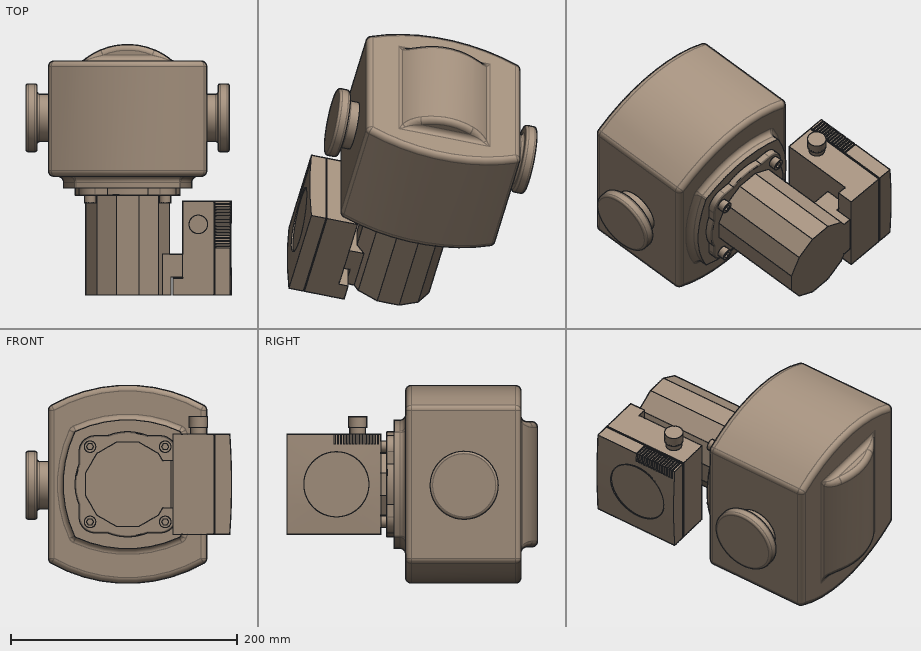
import cadquery as cq
import math


MARGIN = 0.2

TOTAL_LENGTH = 221.5

SHELL_HALF_WIDTH = 70.0
SHELL_HEIGHT = 175.2
SHELL_HALF_HEIGHT = SHELL_HEIGHT / 2
SHELL_ARC_RADIUS = 137.0
SHELL_BACK_Y = 50.3
SHELL_FRONT_Y = -51.8
EDGE_FILLET = 5.0

BOSS_HALF_SIZE = 57.0
BOSS_CORNER = 46.5
BOSS_CORNER_FILLET = 2.2
BOSS_FRONT_Y = -62.0

DOME_RADIUS = 61.0
DOME_HALF_HEIGHT = 55.4
DOME_BACK_Y = 65.0

PIPE_AXIS_Z = -0.9
PIPE_END_X = 90.0
PIPE_FLANGE_RADIUS = 30.1
PIPE_FLANGE_THICKNESS = 10.0
PIPE_NECK_RADIUS = 21.0
PIPE_FILLET = 2.2

PLATE_HALF_SIZE = 43.0
PLATE_CORNER_RADIUS = 14.2
PLATE_LOBE_RADIUS = 46.5
PLATE_FRONT_Y = -68.7
PLATE_EDGE_FILLET = 0.9
MOTOR_APOTHEM = 37.2
MOTOR_SIDES = 12
MOTOR_FRONT_Y = DOME_BACK_Y - TOTAL_LENGTH

SCREW_OFFSET = 33.2
SCREW_HEAD_RADIUS = 5.0
SCREW_HEAD_HEIGHT = 6.5
SOCKET_ACROSS_CORNERS = 6.2
SOCKET_SIDES = 6
SOCKET_DEPTH = 3.3

BOX_LEFT_X = 48.5
BOX_BACK_Y = -73.5
BOX_HALF_HEIGHT = 44.3
LIP_LEFT_X = 40.0
LIP_BACK_Y = -141.5
COVER_RIGHT_X = 90.4
COVER_CROWN = 1.5
GROOVE_X = 76.2
GROOVE_WIDTH = 0.9
GROOVE_DEPTH = 0.9
DIAL_RADIUS = 28.8
DIAL_Y = -113.0

BRACKET_HALF_HEIGHT = 20.8
BRACKET_BACK_Y = -120.5
BRACKET_STEP_X = 38.5
BRACKET_STEP_Y = -140.7

SLOT_COUNT = 15
SLOT_ROW_LENGTH = 38.0
SLOT_PITCH = SLOT_ROW_LENGTH / (SLOT_COUNT - 1)
SLOT_WIDTH = 1.17
SLOT_DEPTH = 8.9
SLOT_START_X = 78.0
FIRST_SLOT_Y = -76.2

GLAND_X = 62.5
GLAND_Y = -94.2
GLAND_STEM_RADIUS = 7.0
GLAND_STEM_HEIGHT = 6.0
GLAND_HEAD_RADIUS = 8.2
GLAND_HEAD_HEIGHT = 9.5


def facing_front(y):
    """Work plane at the given Y whose extrusions go toward -Y; local axes are X and Z."""
    return cq.Workplane("XZ", origin=(0, y, 0))


def make_shell():
    drop = SHELL_ARC_RADIUS - math.sqrt(SHELL_ARC_RADIUS**2 - SHELL_HALF_WIDTH**2)
    corner_z = SHELL_HALF_HEIGHT - drop
    return (
        facing_front(SHELL_BACK_Y)
        .moveTo(-SHELL_HALF_WIDTH, corner_z)
        .threePointArc((0, SHELL_HALF_HEIGHT), (SHELL_HALF_WIDTH, corner_z))
        .lineTo(SHELL_HALF_WIDTH, -corner_z)
        .threePointArc((0, -SHELL_HALF_HEIGHT), (-SHELL_HALF_WIDTH, -corner_z))
        .close()
        .extrude(SHELL_BACK_Y - SHELL_FRONT_Y)
        .edges()
        .fillet(EDGE_FILLET)
    )


def make_front_boss():
    """Four-arc boss that reaches from the shell's middle to the motor plate."""
    size = BOSS_HALF_SIZE
    corner = BOSS_CORNER
    return (
        facing_front(0)
        .moveTo(-corner, corner)
        .threePointArc((0, size), (corner, corner))
        .threePointArc((size, 0), (corner, -corner))
        .threePointArc((0, -size), (-corner, -corner))
        .threePointArc((-size, 0), (-corner, corner))
        .close()
        .extrude(-BOSS_FRONT_Y)
        .edges("|Y")
        .fillet(BOSS_CORNER_FILLET)
    )


def make_rear_dome():
    """Vertical cylinder, of which only the rear cap leaves the shell."""
    dome = (
        cq.Workplane("XY", origin=(0, DOME_BACK_Y - DOME_RADIUS, -DOME_HALF_HEIGHT))
        .circle(DOME_RADIUS)
        .extrude(2 * DOME_HALF_HEIGHT)
    )
    span = 2 * DOME_RADIUS
    rear_half = cq.Workplane("XY").box(span, span, span, centered=(True, False, True))
    return dome.intersect(rear_half)


def make_pipe(side):
    """Flanged pipe stub on the -X (side = -1) or +X (side = 1) face of the shell."""
    plane = cq.Plane(origin=(0, 0, PIPE_AXIS_Z), xDir=(0, 1, 0), normal=(side, 0, 0))
    flange_start = PIPE_END_X - PIPE_FLANGE_THICKNESS
    neck = cq.Workplane(plane).circle(PIPE_NECK_RADIUS).extrude(flange_start)
    flange = (
        cq.Workplane(plane)
        .workplane(offset=flange_start)
        .circle(PIPE_FLANGE_RADIUS)
        .extrude(PIPE_FLANGE_THICKNESS)
        .edges()
        .fillet(PIPE_FILLET)
    )
    reach = PIPE_NECK_RADIUS + MARGIN
    root = cq.selectors.BoxSelector(
        (side * (flange_start - MARGIN), -reach, PIPE_AXIS_Z - reach),
        (side * (flange_start + MARGIN), reach, PIPE_AXIS_Z + reach),
        boundingbox=True,
    )
    return neck.union(flange).edges(root).fillet(PIPE_FILLET)


def base_edges(y, half_size):
    """Selector for the edges lying in the plane Y = y within a square around the pump axis."""
    reach = half_size + MARGIN
    return cq.selectors.BoxSelector(
        (-reach, y - MARGIN, -reach), (reach, y + MARGIN, reach), boundingbox=True
    )


def dome_rims():
    """Selector for the curved top and bottom rims of the rear dome."""
    rims = [
        cq.selectors.BoxSelector(
            (-DOME_RADIUS, SHELL_BACK_Y, z - MARGIN),
            (DOME_RADIUS, DOME_BACK_Y + MARGIN, z + MARGIN),
            boundingbox=True,
        )
        for z in (-DOME_HALF_HEIGHT, DOME_HALF_HEIGHT)
    ]
    return (rims[0] + rims[1]) & cq.selectors.TypeSelector("CIRCLE")


def make_housing():
    housing = make_shell().union(make_front_boss())
    housing = housing.edges(base_edges(SHELL_FRONT_Y, BOSS_HALF_SIZE)).fillet(EDGE_FILLET)
    housing = housing.union(make_rear_dome())
    housing = housing.edges(base_edges(SHELL_BACK_Y, DOME_HALF_HEIGHT)).fillet(EDGE_FILLET)
    housing = housing.edges(dome_rims()).fillet(EDGE_FILLET)
    for side in (-1, 1):
        housing = housing.union(make_pipe(side))
    return housing


def make_motor():
    plate_thickness = BOSS_FRONT_Y - PLATE_FRONT_Y
    plate = (
        facing_front(BOSS_FRONT_Y)
        .rect(2 * PLATE_HALF_SIZE, 2 * PLATE_HALF_SIZE)
        .extrude(plate_thickness)
        .edges("|Y")
        .fillet(PLATE_CORNER_RADIUS)
    )
    lobes = facing_front(BOSS_FRONT_Y).circle(PLATE_LOBE_RADIUS).extrude(plate_thickness)
    plate = plate.union(lobes).faces("<Y").edges().fillet(PLATE_EDGE_FILLET)

    half_turn = math.pi / MOTOR_SIDES
    barrel = (
        facing_front(PLATE_FRONT_Y)
        .transformed(rotate=(0, 0, math.degrees(half_turn)))
        .polygon(MOTOR_SIDES, 2 * MOTOR_APOTHEM / math.cos(half_turn))
        .extrude(PLATE_FRONT_Y - MOTOR_FRONT_Y)
    )
    bracket = (
        cq.Workplane("XY", origin=(0, 0, -BRACKET_HALF_HEIGHT))
        .moveTo(0, BRACKET_BACK_Y)
        .lineTo(BOX_LEFT_X, BRACKET_BACK_Y)
        .lineTo(BOX_LEFT_X, BRACKET_STEP_Y)
        .lineTo(BRACKET_STEP_X, BRACKET_STEP_Y)
        .lineTo(BRACKET_STEP_X, MOTOR_FRONT_Y)
        .lineTo(0, MOTOR_FRONT_Y)
        .close()
        .extrude(2 * BRACKET_HALF_HEIGHT)
    )
    return plate.union(barrel).union(bracket)


def make_screw(x, z):
    """Socket-head screw standing on the motor plate."""
    return (
        facing_front(PLATE_FRONT_Y)
        .center(x, z)
        .circle(SCREW_HEAD_RADIUS)
        .extrude(SCREW_HEAD_HEIGHT)
        .faces("<Y")
        .workplane()
        .polygon(SOCKET_SIDES, SOCKET_ACROSS_CORNERS)
        .cutBlind(-SOCKET_DEPTH)
    )


def make_box_block():
    """Box with a front lip toward the motor and a crowned +X face with a flat round dial recess."""
    crown_x = COVER_RIGHT_X + COVER_CROWN
    block = (
        facing_front(BOX_BACK_Y)
        .moveTo(LIP_LEFT_X, -BOX_HALF_HEIGHT)
        .lineTo(COVER_RIGHT_X, -BOX_HALF_HEIGHT)
        .threePointArc((crown_x, 0), (COVER_RIGHT_X, BOX_HALF_HEIGHT))
        .lineTo(LIP_LEFT_X, BOX_HALF_HEIGHT)
        .close()
        .extrude(BOX_BACK_Y - MOTOR_FRONT_Y)
    )
    lip_recess = cq.Workplane("XY", origin=(LIP_LEFT_X, LIP_BACK_Y, 0)).box(
        BOX_LEFT_X - LIP_LEFT_X,
        BOX_BACK_Y - LIP_BACK_Y,
        2 * BOX_HALF_HEIGHT,
        centered=(False, False, True),
    )
    dial = cq.Workplane("YZ", origin=(COVER_RIGHT_X, DIAL_Y, 0)).circle(DIAL_RADIUS).extrude(COVER_CROWN)
    return block.cut(lip_recess).cut(dial)


def make_cover_groove():
    """Ring that cuts the groove between the box and its cover on all four sides."""
    depth = BOX_BACK_Y - MOTOR_FRONT_Y
    height = 2 * BOX_HALF_HEIGHT
    middle_y = (BOX_BACK_Y + MOTOR_FRONT_Y) / 2
    return (
        cq.Workplane("YZ", origin=(GROOVE_X, middle_y, 0))
        .rect(depth, height)
        .rect(depth - 2 * GROOVE_DEPTH, height - 2 * GROOVE_DEPTH)
        .extrude(GROOVE_WIDTH)
    )


def make_cooling_slots():
    """Row of slots that open to the top and to the +X face of the cover."""
    length = COVER_RIGHT_X + COVER_CROWN - SLOT_START_X
    middle_y = FIRST_SLOT_Y - SLOT_ROW_LENGTH / 2
    return (
        cq.Workplane("XY", origin=(SLOT_START_X + length / 2, middle_y, BOX_HALF_HEIGHT))
        .rarray(2.2, SLOT_PITCH, 1, SLOT_COUNT)
        .rect(length, SLOT_WIDTH)
        .extrude(-SLOT_DEPTH)
    )


def make_gland():
    return (
        cq.Workplane("XY", origin=(GLAND_X, GLAND_Y, BOX_HALF_HEIGHT))
        .circle(GLAND_STEM_RADIUS)
        .extrude(GLAND_STEM_HEIGHT)
        .faces(">Z")
        .workplane()
        .circle(GLAND_HEAD_RADIUS)
        .extrude(GLAND_HEAD_HEIGHT)
    )


def make_terminal_box():
    return make_box_block().cut(make_cover_groove()).cut(make_cooling_slots()).union(make_gland())


housing = make_housing()
motor = make_motor()
terminal_box = make_terminal_box()
screws = [
    make_screw(x, z)
    for x in (-SCREW_OFFSET, SCREW_OFFSET)
    for z in (-SCREW_OFFSET, SCREW_OFFSET)
]

result = cq.Compound.makeCompound(
    [body.solids().val() for body in (housing, motor, terminal_box, *screws)]
)